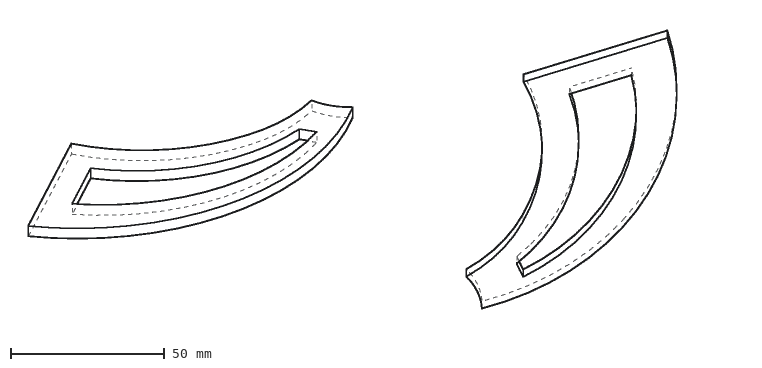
import cadquery as cq
import math

width = 82.0
length = 96.2
thickness = 4.0
left_edge_length = 50.1

outer_center = (-10.0, 91.6)

inner_joint = (53.7, 71.1)
inner_lower_radius = 69.8
inner_upper_radius = 54.25

tip_width = 14.0
tip_notch_depth = 1.2

window_left = 10.1
window_top = 79.0
window_inner_center = (5.4, 107.4)
window_inner_radius = 69.5
window_outer_center = (-2.3, 93.9)
window_outer_radius = 78.4


def point_at_x(center, radius, x):
    """Lower point of a circle at the given X."""
    return (x, center[1] - math.sqrt(radius**2 - (x - center[0]) ** 2))


def point_at_y(center, radius, y):
    """Right-hand point of a circle at the given Y."""
    return (center[0] + math.sqrt(radius**2 - (y - center[1]) ** 2), y)


def arc_middle(center, start, end):
    """Point halfway along the short arc from start to end about the center."""
    radius = math.dist(center, start)
    start_angle = math.atan2(start[1] - center[1], start[0] - center[0])
    end_angle = math.atan2(end[1] - center[1], end[0] - center[0])
    angle = (start_angle + end_angle) / 2
    return (center[0] + radius * math.cos(angle), center[1] + radius * math.sin(angle))


def make_plate():
    """Curved plate with a straight left edge and a shallow hollow at its narrow tip."""
    lower_corner = (0, 0)
    upper_corner = (0, left_edge_length)
    tip_right = (width, length)
    tip_left = (width - tip_width, length)
    tip_middle = (width - tip_width / 2, length - tip_notch_depth)
    return (
        cq.Workplane("XY")
        .moveTo(*lower_corner)
        .threePointArc(arc_middle(outer_center, lower_corner, tip_right), tip_right)
        .threePointArc(tip_middle, tip_left)
        .radiusArc(inner_joint, inner_upper_radius)
        .radiusArc(upper_corner, inner_lower_radius)
        .close()
        .extrude(thickness)
    )


def make_window():
    """Crescent-shaped through window with a straight left end and a straight top end."""
    lower_left = point_at_x(window_outer_center, window_outer_radius, window_left)
    upper_left = point_at_x(window_inner_center, window_inner_radius, window_left)
    top_right = point_at_y(window_outer_center, window_outer_radius, window_top)
    top_left = point_at_y(window_inner_center, window_inner_radius, window_top)
    return (
        cq.Workplane("XY")
        .moveTo(*lower_left)
        .threePointArc(arc_middle(window_outer_center, lower_left, top_right), top_right)
        .lineTo(*top_left)
        .threePointArc(arc_middle(window_inner_center, top_left, upper_left), upper_left)
        .close()
        .extrude(thickness)
    )


result = make_plate().cut(make_window())